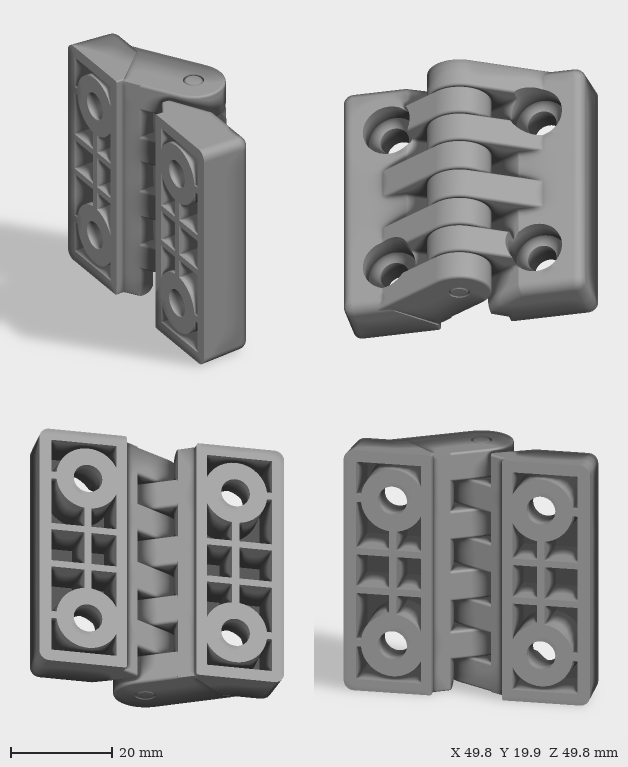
import cadquery as cq
import math


half_size = 24.885
body_height = 11.0
draft = 2.0
inner_edge_x = -7.1
spine_edge_x = -4.1
ramp_crest_x = -11.42
ramp_foot_y = 6.68
corner_radius = 2.0
inner_edge_radius = 0.4

pin_y = 13.5
barrel_radius = 6.39
arm_angle = math.radians(31.5)
finger_end_z = 24.45
joint_gap = 0.2
joints_outer = [18.47, 12.47, 6.35]
joints = joints_outer + [0.0] + [-z for z in reversed(joints_outer)]
finger_edge_radius = 0.5
arm_tail_y = 9.9
arm_tail_x = -14.9

pin_diameter = 4.0
pin_hole_diameter = 4.2
pin_chamfer = 0.4

screw_x = -15.0
screw_z = 15.0
screw_positions = [(screw_z, screw_x), (-screw_z, screw_x)]
screw_hole_diameter = 5.8
counterbore_diameter = 10.5
counterbore_floor_y = 6.0

cavity_outer_x = -22.4
cavity_inner_x = -9.22
cavity_half_length = 22.55
cavity_depth = 9.0
boss_radius = 6.43
rib_width = 1.5
cross_rib_width = 1.35
cross_rib_z = 4.0

through = 4 * half_size
tolerance = 1e-3

arm_slope = math.tan(arm_angle)
tangent_dx = barrel_radius * math.sin(arm_angle)
tangent_dy = barrel_radius * math.cos(arm_angle)
upper_tangent = (-tangent_dx, pin_y + tangent_dy)
lower_tangent = (tangent_dx, pin_y - tangent_dy)


def underside_y(x):
    """Height of the arm's lower line at x."""
    return lower_tangent[1] + (x - lower_tangent[0]) * arm_slope


def upper_line_y(x):
    """Height of the arm's upper line at x."""
    return upper_tangent[1] + (x - upper_tangent[0]) * arm_slope


def tapered_block(points, size_z, size_x, height, taper):
    """Rectangles on the mounting plane, extruded up with draft."""
    return cq.Workplane("ZX").pushPoints(points).rect(size_z, size_x).extrude(height, taper=taper)


def is_top_rim(edge):
    """True for the outer edges of the top face and the ends of the ramp."""
    x, y, z = edge.Center().toTuple()
    on_outer_wall = x < -half_size + corner_radius
    on_end_wall = abs(z) > half_size - corner_radius
    above_spine = y > (ramp_foot_y + body_height) / 2 - 0.5
    return above_spine and (on_outer_wall or on_end_wall)


def is_inner_end(edge):
    """True for the end edges of the inner edge face and of the underside of the spine."""
    x, y, z = edge.Center().toTuple()
    at_end = abs(z) > half_size - 1
    return at_end and x > inner_edge_x - 0.1 and y < underside_y(spine_edge_x)


def make_body():
    """Drafted block with a ramp and spine toward the pin, rounded on its outer edges."""
    corner_zone = [(-2 * half_size, 1, -half_size), (-half_size + 1, body_height - 1, half_size)]
    block = tapered_block([(0, 0)], 2 * half_size, 2 * half_size, body_height, draft)
    block = block.edges(cq.selectors.BoxSelector(*corner_zone)).fillet(corner_radius)
    profile = (
        cq.Workplane("XY")
        .moveTo(-2 * half_size, 0)
        .lineTo(inner_edge_x, 0)
        .lineTo(inner_edge_x, underside_y(inner_edge_x))
        .lineTo(spine_edge_x, underside_y(spine_edge_x))
        .lineTo(spine_edge_x, ramp_foot_y)
        .lineTo(ramp_crest_x, body_height)
        .lineTo(-2 * half_size, body_height)
        .close()
        .extrude(half_size, both=True)
    )
    body = block.intersect(profile)
    body = body.edges().filter(is_top_rim).fillet(corner_radius)
    return body.edges().filter(is_inner_end).fillet(inner_edge_radius)


def finger_outline():
    """Side outline of one arm, from its barrel down to its tail inside the body."""
    arm_tail_end_x = upper_tangent[0] - (upper_tangent[1] - arm_tail_y) / arm_slope
    return (
        cq.Workplane("XY")
        .moveTo(arm_tail_end_x, arm_tail_y)
        .lineTo(*upper_tangent)
        .threePointArc((barrel_radius, pin_y), lower_tangent)
        .lineTo(inner_edge_x, underside_y(inner_edge_x))
        .lineTo(arm_tail_x, arm_tail_y)
        .close()
    )


def is_finger_rim(edge):
    """True for the outline edges of a finger's side faces along the arm lines and the barrel."""
    x, y, z = edge.Center().toTuple()
    lies_along_side = abs(edge.tangentAt(0.5).z) < tolerance
    on_upper_line = abs(y - upper_line_y(x)) < tolerance
    on_lower_line = abs(y - underside_y(x)) < tolerance and x > inner_edge_x
    on_barrel = x > spine_edge_x and edge.geomType() == "CIRCLE"
    return lies_along_side and (on_upper_line or on_lower_line or on_barrel)


def make_finger(z_low, z_high):
    """One arm between two heights along the pin."""
    finger = finger_outline().extrude(z_high - z_low).translate((0, 0, z_low))
    return finger.edges().filter(is_finger_rim).fillet(finger_edge_radius)


def finger_ranges():
    """Heights along the pin of the fingers of the left leaf."""
    half_gap = joint_gap / 2
    planes = [finger_end_z + half_gap] + joints
    return [(low + half_gap, high - half_gap) for high, low in zip(planes[0::2], planes[1::2])]


def on_ramp_or_top(x, y):
    """True for a point on the line of the ramp or of the top face."""
    ramp_slope = (body_height - ramp_foot_y) / (spine_edge_x - ramp_crest_x)
    surface_y = min(body_height, ramp_foot_y + (spine_edge_x - x) * ramp_slope)
    return abs(y - surface_y) < tolerance


def is_ramp_root(edge):
    """True for the edges where the sides of the fingers rise out of the ramp and the top face."""
    x, y, z = edge.Center().toTuple()
    lies_along_side = abs(edge.tangentAt(0.5).z) < tolerance
    return lies_along_side and abs(z) < half_size - corner_radius - 0.5 and on_ramp_or_top(x, y)


def make_cavity():
    """Drafted cavity of the underside, less its ribs and screw bosses."""
    length_x = cavity_inner_x - cavity_outer_x
    center_x = (cavity_inner_x + cavity_outer_x) / 2
    cavity = tapered_block([(0, center_x)], 2 * cavity_half_length, length_x, cavity_depth, draft)
    cross_ribs = tapered_block(
        [(cross_rib_z, center_x), (-cross_rib_z, center_x)], cross_rib_width, 2 * length_x, cavity_depth, -draft
    )
    long_rib = tapered_block([(0, screw_x)], 2 * screw_z, rib_width, cavity_depth, -draft)
    outer_ribs = tapered_block(
        [(z, screw_x - length_x / 2) for z, x in screw_positions], rib_width, length_x, cavity_depth, -draft
    )
    bosses = cq.Workplane("ZX").pushPoints(screw_positions).circle(boss_radius)
    bosses = bosses.extrude(cavity_depth, taper=-draft)
    for rib in (cross_ribs, long_rib, outer_ribs, bosses):
        cavity = cavity.cut(rib)
    return cavity


def make_screw_holes():
    """Through holes with counterbores opening upward, also through the arms above."""
    holes = cq.Workplane("ZX").pushPoints(screw_positions).circle(screw_hole_diameter / 2).extrude(through)
    counterbores = (
        cq.Workplane("ZX", origin=(0, counterbore_floor_y, 0))
        .pushPoints(screw_positions)
        .circle(counterbore_diameter / 2)
        .extrude(through)
    )
    return holes.union(counterbores)


def make_pin_cylinder(diameter, length):
    """Cylinder on the hinge axis, centred along its length."""
    return cq.Workplane("XY").center(0, pin_y).circle(diameter / 2).extrude(length / 2, both=True)


def make_leaf():
    """Left leaf: body and four fingers, with cavity, screw holes and pin hole."""
    end_recess = finger_outline().extrude(through).translate((0, 0, finger_end_z))
    leaf = make_body().cut(end_recess)
    for z_low, z_high in finger_ranges():
        leaf = leaf.union(make_finger(z_low, z_high))
    leaf = leaf.edges().filter(is_ramp_root).fillet(finger_edge_radius)
    leaf = leaf.cut(make_cavity()).cut(make_screw_holes())
    return leaf.cut(make_pin_cylinder(pin_hole_diameter, through))


def make_pin():
    """Hinge pin, flush with the outer fingers, chamfered at both ends."""
    pin = make_pin_cylinder(pin_diameter, 2 * finger_end_z)
    return pin.faces("|Z").chamfer(pin_chamfer)


left_leaf = make_leaf()
right_leaf = left_leaf.rotate((0, 0, 0), (0, 1, 0), 180)
pin = make_pin()

result = cq.Compound.makeCompound([left_leaf.val(), right_leaf.val(), pin.val()])